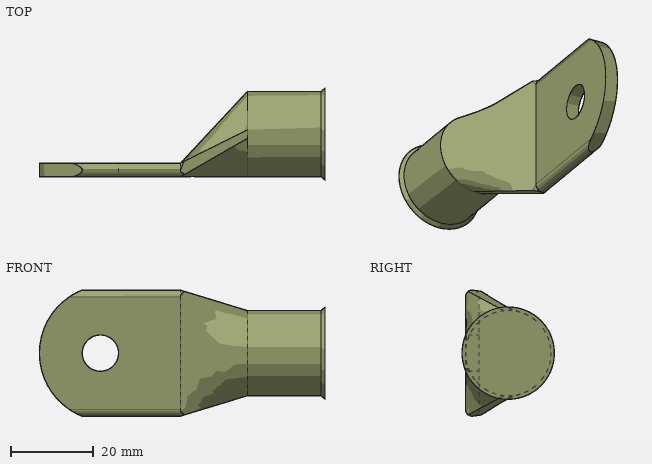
import cadquery as cq
import math

tongue_width = 30.48
tongue_thickness = 3.3
tongue_length = 34.05
tip_radius = 16.4
hole_diameter = 8.7
hole_center_x = 14.75
edge_ridge = 0.02

barrel_diameter = 20.62
barrel_start_x = 50.2
overall_length = 69.02
flare_diameter = 22.35
flare_length = 1.0
band_half_height = 1.03

barrel_radius = barrel_diameter / 2
edge_radius = (tongue_thickness - edge_ridge) / 2
half_width = tongue_width / 2
tongue_front_y = -barrel_radius
tongue_back_y = tongue_front_y + tongue_thickness


def section_at(x):
    """YZ section plane at x: local x runs along +Y and local y along +Z."""
    return cq.Workplane("YZ", origin=(x, 0, 0))


def add_tongue_section(plane):
    """Rectangular tongue section, drawn in the same turning sense as the barrel section."""
    return (
        plane.moveTo(tongue_front_y, -half_width)
        .lineTo(tongue_front_y, half_width)
        .lineTo(tongue_back_y, half_width)
        .lineTo(tongue_back_y, -half_width)
        .close()
    )


def add_barrel_section(plane):
    """Circle split into four arcs that pair with the four sides of the tongue section."""
    y = band_half_height
    z = math.sqrt(barrel_radius**2 - y**2)
    return (
        plane.moveTo(-y, -z)
        .threePointArc((-barrel_radius, 0), (-y, z))
        .threePointArc((0, barrel_radius), (y, z))
        .threePointArc((barrel_radius, 0), (y, -z))
        .threePointArc((0, -barrel_radius), (-y, -z))
        .close()
    )


def make_transition():
    """Ruled body from the tongue section to the round barrel section."""
    tongue_end = add_tongue_section(section_at(tongue_length))
    barrel_plane = tongue_end.workplane(offset=barrel_start_x - tongue_length)
    return add_barrel_section(barrel_plane).loft(ruled=True)


def make_barrel():
    """Cylinder whose far end opens into a short conical flare."""
    flare_start_x = overall_length - flare_length
    return (
        cq.Workplane("XY")
        .moveTo(barrel_start_x, 0)
        .lineTo(barrel_start_x, barrel_radius)
        .lineTo(flare_start_x, barrel_radius)
        .lineTo(overall_length, flare_diameter / 2)
        .lineTo(overall_length, 0)
        .close()
        .revolve(360, (0, 0, 0), (1, 0, 0))
    )


def round_tongue_edges(body):
    """Round the four long tongue edges, letting the rounding run out in the transition."""
    for y in (tongue_front_y, tongue_back_y):
        for z in (-half_width, half_width):
            edge_middle = (tongue_length / 2, y, z)
            body = body.edges(cq.selectors.NearestToPointSelector(edge_middle)).fillet(edge_radius)
    return body


def make_tip_waste():
    """Stock outside the tip arc, ahead of the arc centre."""
    facing = cq.Workplane("XZ", origin=(0, tongue_back_y, 0))
    block = facing.center(tip_radius / 2, 0).rect(tip_radius, 2 * tip_radius).extrude(tongue_thickness)
    disc = facing.center(tip_radius, 0).circle(tip_radius).extrude(tongue_thickness)
    return block.cut(disc)


def make_stud_hole():
    """Hole through the thickness of the tongue."""
    facing = cq.Workplane("XZ", origin=(0, tongue_back_y, 0))
    return facing.center(hole_center_x, 0).circle(hole_diameter / 2).extrude(tongue_thickness)


tongue = add_tongue_section(section_at(0)).extrude(tongue_length)
shank = round_tongue_edges(tongue.union(make_transition()))
result = shank.cut(make_tip_waste()).cut(make_stud_hole()).union(make_barrel())